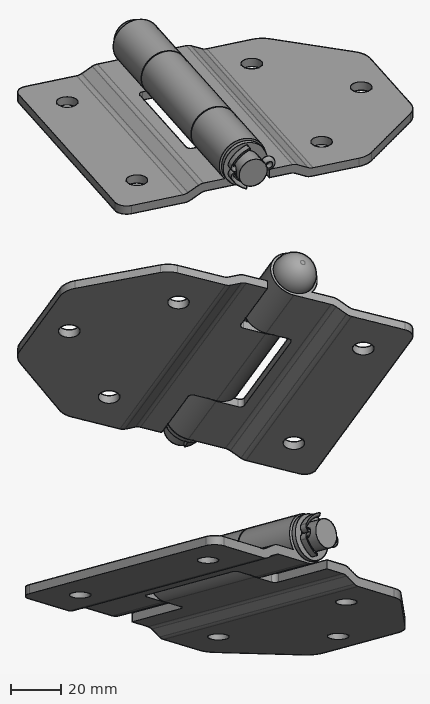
import cadquery as cq
import math

leaf_width = 106.7
plate_thickness = 3.8
joggle_height = 3.4
joggle_angle = math.radians(27)
joggle_bend_radius = 4.8

knuckle_radius = 10.1
knuckle_bore_radius = knuckle_radius - plate_thickness
middle_knuckle_length = 49.5
knuckle_gap = 0.4
notch_clearance = 1.4
notch_fillet = 2.0

hole_diameter = 8.5
hole_spacing = 70.0

front_leaf_end = 53.0
front_joggle_start = 18.0
front_corner_radius = 5.0
front_holes_y = -37.8

rear_leaf_end = 87.0
rear_joggle_start = 22.7
rear_shoulder_y = 53.9
rear_tip_width = 49.5
rear_corner_radius = 9.8
rear_holes_y = 42.0
rear_tip_hole_y = 74.2

pin_radius = 6.0
pin_head_radius = 9.0
pin_head_flat_radius = 1.0
pin_tail_length = 10.5

washer_radius = 9.5
washer_thickness = 1.8
washer_offset = 0.8

cotter_offset = 5.5
cotter_wire_radius = 1.5
cotter_hole_radius = 2.1
eye_center_y = 8.5
eye_inner_radius = 1.4
leg_bend_y = -5.9
leg_bend_radius = 2.1
leg_bend_angle = 120
leg_wrap_radius = 13.7
upper_leg_wrap_angle = 43
lower_leg_wrap_angle = 36

axis_z = joggle_height + knuckle_radius
half_width = leaf_width / 2
middle_half = middle_knuckle_length / 2
side_inner_x = middle_half + knuckle_gap
notch_depth = knuckle_radius + notch_clearance
tall = 4 * knuckle_radius


def cylinder_x(radius, x_start, x_end):
    """Solid cylinder on the hinge axis."""
    return cq.Workplane("YZ", origin=(x_start, 0, axis_z)).circle(radius).extrude(x_end - x_start)


def joggled_plate(joggle_start, leaf_end, side):
    """Plate from the hinge axis to leaf_end, stepped down to Z = 0; side is +1 or -1 along Y."""
    joggle_end = joggle_start + joggle_height / math.tan(joggle_angle)
    bottom_shift = plate_thickness * math.tan(joggle_angle / 2)
    high_top = joggle_height + plate_thickness
    outline = [
        (0, joggle_height),
        (joggle_start - bottom_shift, joggle_height),
        (joggle_end - bottom_shift, 0),
        (leaf_end, 0),
        (leaf_end, plate_thickness),
        (joggle_end, plate_thickness),
        (joggle_start, high_top),
        (0, high_top),
    ]
    plate = (
        cq.Workplane("YZ", origin=(-half_width, 0, 0))
        .polyline([(side * y, z) for y, z in outline])
        .close()
        .extrude(leaf_width)
    )
    bend_zone = cq.selectors.BoxSelector(
        (-leaf_width, side * (joggle_start - 2 * bottom_shift), -tall),
        (leaf_width, side * (joggle_end + bottom_shift), tall),
    )
    return plate.edges("|X").edges(bend_zone).fillet(joggle_bend_radius)


def notch_cutter(x_start, x_end, side, rounded_corners):
    """Block that clears a leaf beside the facing knuckle."""
    block = (
        cq.Workplane("XY")
        .center((x_start + x_end) / 2, 0)
        .rect(x_end - x_start, 2 * notch_depth)
        .extrude(tall)
    )
    far_side = ">Y" if side > 0 else "<Y"
    return block.faces(far_side).edges(rounded_corners).fillet(notch_fillet)


def drill(leaf, points):
    """Mounting holes through a leaf."""
    return leaf.cut(cq.Workplane("XY").pushPoints(points).circle(hole_diameter / 2).extrude(tall))


def add_knuckle(leaf, x_start, x_end):
    """Rolled knuckle, tangent to the underside of its plate."""
    return leaf.union(cylinder_x(knuckle_radius, x_start, x_end))


def bore_knuckles(leaf):
    return leaf.cut(cylinder_x(knuckle_bore_radius, -half_width, half_width))


def make_rear_leaf():
    """Tapered leaf (+Y) with the middle knuckle."""
    half_tip = rear_tip_width / 2
    plan = (
        cq.Workplane("XY")
        .polyline([
            (-half_width, 0),
            (half_width, 0),
            (half_width, rear_shoulder_y),
            (half_tip, rear_leaf_end),
            (-half_tip, rear_leaf_end),
            (-half_width, rear_shoulder_y),
        ])
        .close()
        .extrude(tall)
        .edges("(|Z) and (not <Y)")
        .fillet(rear_corner_radius)
    )
    leaf = joggled_plate(rear_joggle_start, rear_leaf_end, 1).intersect(plan)
    leaf = leaf.cut(notch_cutter(-leaf_width, -middle_half, 1, ">X"))
    leaf = leaf.cut(notch_cutter(middle_half, leaf_width, 1, "<X"))
    half_spacing = hole_spacing / 2
    leaf = drill(leaf, [(-half_spacing, rear_holes_y), (half_spacing, rear_holes_y), (0, rear_tip_hole_y)])
    leaf = add_knuckle(leaf, -middle_half, middle_half)
    return bore_knuckles(leaf)


def make_front_leaf():
    """Rectangular leaf (-Y) with the two side knuckles."""
    leaf = joggled_plate(front_joggle_start, front_leaf_end, -1)
    leaf = leaf.edges("|Z and <Y").fillet(front_corner_radius)
    leaf = leaf.cut(notch_cutter(-side_inner_x, side_inner_x, -1, "|Z"))
    half_spacing = hole_spacing / 2
    leaf = drill(leaf, [(-half_spacing, front_holes_y), (half_spacing, front_holes_y)])
    leaf = add_knuckle(leaf, -half_width, -side_inner_x)
    leaf = add_knuckle(leaf, side_inner_x, half_width)
    return bore_knuckles(leaf)


def make_pin():
    """Round pin with a domed head at -X and a cross hole for the cotter."""
    shank = cylinder_x(pin_radius, -half_width, half_width + pin_tail_length)
    flat_distance = math.sqrt(pin_head_radius**2 - pin_head_flat_radius**2)
    diagonal = pin_head_radius * math.sqrt(0.5)
    head = (
        cq.Workplane("XY", origin=(-half_width, 0, axis_z))
        .moveTo(0, 0)
        .lineTo(0, pin_head_radius)
        .threePointArc((-diagonal, diagonal), (-flat_distance, pin_head_flat_radius))
        .lineTo(-flat_distance, 0)
        .close()
        .revolve(360, (0, 0, 0), (1, 0, 0))
    )
    cross_hole = (
        cq.Workplane("XZ", origin=(half_width + cotter_offset, 0, axis_z))
        .circle(cotter_hole_radius)
        .extrude(2 * pin_radius, both=True)
    )
    return shank.union(head).cut(cross_hole)


def make_washer():
    x_start = half_width + washer_offset
    x_end = x_start + washer_thickness
    return cylinder_x(washer_radius, x_start, x_end).cut(cylinder_x(pin_radius, x_start, x_end))


def half_round(plane):
    """Half-round wire section, flat along local X and round towards +Y."""
    r = cotter_wire_radius
    return cq.Workplane(plane).moveTo(-r, 0).threePointArc((0, r), (r, 0)).close()


def section_plane(y, z, travel):
    """Plane across a leg at (y, z); travel is the leg heading in degrees, from +Y towards +Z.

    The round side of the wire faces the pin, to the right of the heading.
    """
    heading = (0, math.cos(math.radians(travel)), math.sin(math.radians(travel)))
    return cq.Plane(origin=(0, y, z), xDir=(1, 0, 0), normal=heading)


def make_leg(wrap_angle):
    """Leg above the cotter's own axis: straight through the pin, bent back and wrapped over it."""
    straight_start = eye_center_y - eye_inner_radius - cotter_wire_radius / 2
    straight = half_round(section_plane(straight_start, 0, 180)).extrude(straight_start - leg_bend_y)
    bend = half_round(section_plane(leg_bend_y, 0, 180)).revolve(
        leg_bend_angle, (0, leg_bend_radius, 0), (-1, leg_bend_radius, 0)
    )
    heading = 180 - leg_bend_angle
    turn = math.radians(leg_bend_angle)
    wrap_y = leg_bend_y - leg_bend_radius * math.sin(turn)
    wrap_z = leg_bend_radius * (1 - math.cos(turn))
    wrap = half_round(section_plane(wrap_y, wrap_z, heading)).revolve(
        wrap_angle, (0, leg_wrap_radius, 0), (-1, leg_wrap_radius, 0)
    )
    return straight.union(bend).union(wrap)


def make_cotter():
    """Split cotter along Y with its eye at +Y and two legs of unequal length."""
    upper_leg = make_leg(upper_leg_wrap_angle)
    lower_leg = make_leg(lower_leg_wrap_angle).mirror("XY")
    wire_plane = cq.Plane(origin=(0, eye_center_y + eye_inner_radius, 0), xDir=(1, 0, 0), normal=(0, 0, 1))
    eye = half_round(wire_plane).revolve(360, (0, -eye_inner_radius, 0), (1, -eye_inner_radius, 0))
    cotter = eye.union(upper_leg).union(lower_leg)
    return cotter.translate((half_width + cotter_offset, 0, axis_z))


rear_leaf = make_rear_leaf()
front_leaf = make_front_leaf()
pin = make_pin()
washer = make_washer()
cotter = make_cotter()

result = cq.Compound.makeCompound([
    rear_leaf.solids().val(),
    front_leaf.solids().val(),
    pin.solids().val(),
    washer.solids().val(),
    cotter.solids().val(),
])